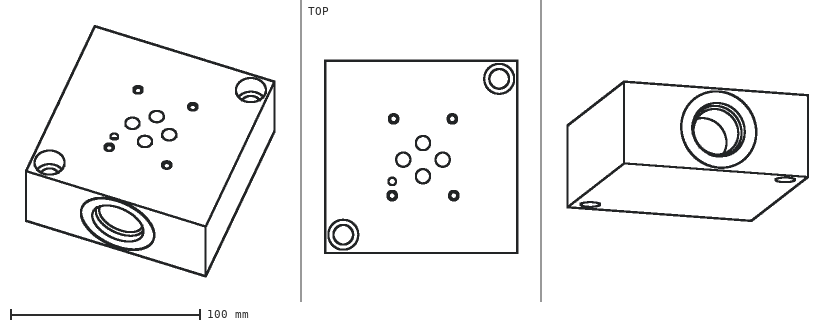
import cadquery as cq
import math

side = 101.6
height = 44.5

mount_offset = 41.1
mount_dia = 10.3
counterbore_dia = 15.8
counterbore_depth = 12.2

pattern_x = 0.9
pattern_y = -1.5
flow_dia = 7.5
flow_depth = height / 2
flow_pitch_x = 20.8
flow_pitch_y = 17.5

tap_dia = 3.7
tap_mouth_dia = 5.0
tap_depth = 14.2
drill_tip_angle = 118.0
back_row_offset = 21.5
tap_row_pitch_y = 40.5
back_row_pitch_x = 31.0
front_row_pitch_x = 32.5
back_row_y = pattern_y + back_row_offset
front_row_y = back_row_y - tap_row_pitch_y

pin_dia = 4.0
pin_depth = 4.1
pin_to_tap = 7.5
pin_x = pattern_x - front_row_pitch_x / 2
pin_y = front_row_y + pin_to_tap

port_z = height / 2
spotface_dia = 41.5
spotface_depth = 0.5
port_mouth_dia = 29.0
port_seat_dia = 27.4
port_bore_dia = 24.7
port_seat_depth = 3.9
port_throat_depth = port_seat_depth + (port_seat_dia - port_bore_dia) / 2
port_depth = 26.4


def turned_cutter(profile):
    """Revolve (radius, depth) points about Z, with depth running down from Z = 0."""
    points = [(radius, -depth) for radius, depth in profile]
    return cq.Workplane("XZ").polyline(points).close().revolve(360, (0, 0), (0, 1))


def tapped_hole_cutter():
    """Drilled hole with a conical tip and a 45 degree countersunk mouth."""
    tap_radius = tap_dia / 2
    mouth_radius = tap_mouth_dia / 2
    tip_length = tap_radius / math.tan(math.radians(drill_tip_angle / 2))
    return turned_cutter([
        (0, 0),
        (mouth_radius, 0),
        (tap_radius, mouth_radius - tap_radius),
        (tap_radius, tap_depth),
        (0, tap_depth + tip_length),
    ])


def port_cutter():
    """Side port pointing down from its spotfaced face."""
    return turned_cutter([
        (0, 0),
        (spotface_dia / 2, 0),
        (spotface_dia / 2, spotface_depth),
        (port_mouth_dia / 2, spotface_depth),
        (port_seat_dia / 2, port_seat_depth),
        (port_bore_dia / 2, port_throat_depth),
        (port_bore_dia / 2, port_depth),
        (0, port_depth),
    ])


block = cq.Workplane("XY").box(side, side, height, centered=(True, True, False))
top = cq.Workplane("XY", origin=(0, 0, height))

mount_points = [(mount_offset, mount_offset), (-mount_offset, -mount_offset)]
block = block.cut(top.pushPoints(mount_points).circle(mount_dia / 2).extrude(-height))
block = block.cut(top.pushPoints(mount_points).circle(counterbore_dia / 2).extrude(-counterbore_depth))

flow_points = [
    (pattern_x - flow_pitch_x / 2, pattern_y),
    (pattern_x + flow_pitch_x / 2, pattern_y),
    (pattern_x, pattern_y - flow_pitch_y / 2),
    (pattern_x, pattern_y + flow_pitch_y / 2),
]
block = block.cut(top.pushPoints(flow_points).circle(flow_dia / 2).extrude(-flow_depth))

block = block.cut(top.center(pin_x, pin_y).circle(pin_dia / 2).extrude(-pin_depth))

for row_y, pitch_x in ((back_row_y, back_row_pitch_x), (front_row_y, front_row_pitch_x)):
    for direction in (-1, 1):
        tap_x = pattern_x + direction * pitch_x / 2
        block = block.cut(tapped_hole_cutter().translate((tap_x, row_y, height)))

front_port = port_cutter().rotate((0, 0, 0), (1, 0, 0), 90)
block = block.cut(front_port.translate((pattern_x, -side / 2, port_z)))
left_port = port_cutter().rotate((0, 0, 0), (0, 1, 0), -90)
block = block.cut(left_port.translate((-side / 2, pattern_y, port_z)))

result = block